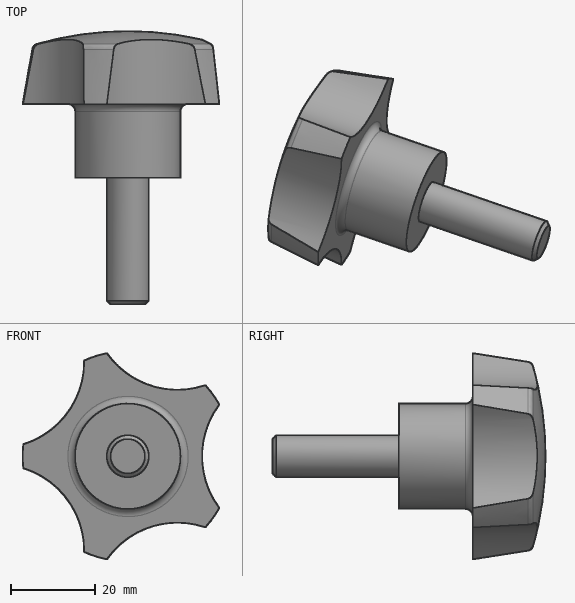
import cadquery as cq
import math

knob_radius = 25.0
knob_height = 17.3
draft_angle = 10.0
dome_radius = 77.85
rim_fillet = 1.6

lobe_count = 5
flute_radius = 20.45
flute_bottom_radius = 17.65

hub_radius = 12.5
hub_length = 17.5
hub_fillet = 1.75

stud_radius = 5.0
stud_length = 30.05
stud_chamfer = 0.9


def make_knob():
    """Tapered, domed disc with concave flutes between the lobes."""
    dome_center = knob_height - dome_radius
    slope = math.tan(math.radians(draft_angle))
    square_term = 1 + slope**2
    half_linear_term = knob_radius * slope + dome_center
    constant_term = knob_radius**2 + dome_center**2 - dome_radius**2
    discriminant = half_linear_term**2 - square_term * constant_term
    corner_y = (half_linear_term + math.sqrt(discriminant)) / square_term
    corner_x = knob_radius - slope * corner_y
    half_x = corner_x / 2
    half_y = dome_center + math.sqrt(dome_radius**2 - half_x**2)
    disc = (
        cq.Workplane("XY")
        .lineTo(knob_radius, 0)
        .lineTo(corner_x, corner_y)
        .threePointArc((half_x, half_y), (0, knob_height))
        .close()
        .revolve(360, (0, 0, 0), (0, 1, 0))
        .edges(cq.selectors.RadiusNthSelector(0))
        .fillet(rim_fillet)
    )
    flutes = (
        cq.Workplane("XZ")
        .polarArray(flute_bottom_radius + flute_radius, 0, 360, lobe_count)
        .circle(flute_radius)
        .extrude(-knob_height)
    )
    return disc.cut(flutes)


def make_hub():
    """Cylinder below the knob, flared by a concave fillet at the knob face."""
    return (
        cq.Workplane("XY")
        .lineTo(0, -hub_length)
        .lineTo(hub_radius, -hub_length)
        .lineTo(hub_radius, -hub_fillet)
        .radiusArc((hub_radius + hub_fillet, 0), hub_fillet)
        .close()
        .revolve(360, (0, 0, 0), (0, 1, 0))
    )


def make_stud():
    """Plain stud with a chamfered tip."""
    return (
        cq.Workplane("XZ", origin=(0, -hub_length, 0))
        .circle(stud_radius)
        .extrude(stud_length)
        .faces("<Y")
        .chamfer(stud_chamfer)
    )


result = make_knob().union(make_hub()).union(make_stud())